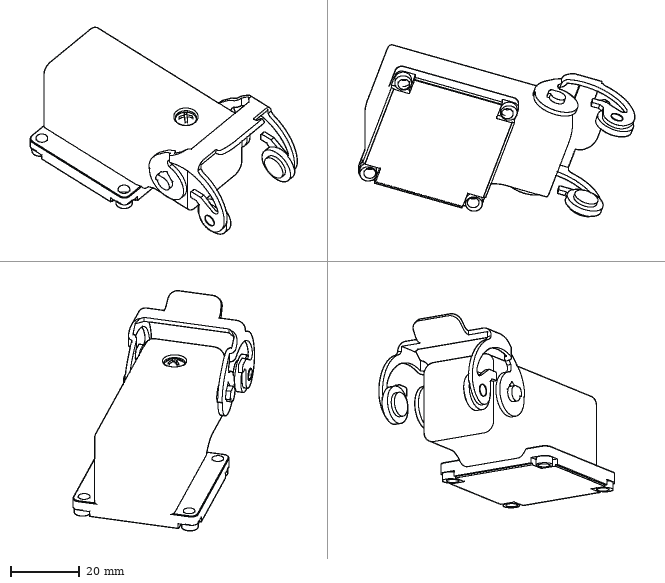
import cadquery as cq
import math

LENGTH = 74.15

BASE_SIDE = 38.0
BASE_TOP = 5.1
BASE_CORNER_R = 2.1
BASE_TOP_CHAMFER = 0.2
SKIRT_BOTTOM = 0.45
HOLE_INSET = 3.05
HOLE_D = 3.4
FOOT_INSET = 2.7
FOOT_R = 2.45
FOOT_TOP = 2.1
FOOT_NOTCH = 5.55
GASKET_INSET = 0.75

HOUSING_LENGTH = 56.2
HOUSING_WIDTH = 24.3
HOUSING_TOP = 30.0
NOSE_BOTTOM = 6.0
NOSE_START_X = 44.0
NOSE_CURVE_R = 7.0
NOSE_CURVE_MID_ANGLE = 110
LONG_EDGE_R = 3.35
END_EDGE_R = 1.0
HALF_WIDTH = HOUSING_WIDTH / 2

SCREW_X = 45.1
SCREW_RIM_R = 3.55
SCREW_HEAD_R = 3.1
SCREW_RIM_DEPTH = 0.7
SCREW_DOME_RISE = 0.3
SCREW_EDGE_DEPTH = 1.3
CROSS_LENGTH = 4.0
CROSS_WIDTH = 0.75
CROSS_DEPTH = 1.3

SHEET = 1.3
LEVER_HALF_WIDTH = 16.3
ARM_INNER_Y = LEVER_HALF_WIDTH - SHEET
PIVOT_PLATE_INNER_Y = 13.5
PIVOT_PLATE_OUTER_Y = PIVOT_PLATE_INNER_Y + SHEET
PIVOT_X = 50.5
PIVOT_Z = 18.25
PIVOT_DISC_R = 6.6
JOGGLE_X = 52.0
JOGGLE_END_X = 53.7
JOGGLE_TOP = 30.9
JOGGLE_LOW = 28.1

BAR_TOP = 35.4
BAR_START_X = 57.55
BAR_FRONT_X = 58.45
BAR_REAR_X = 64.0
BEND_R = 2.75
BAR_EDGE_HALF = 12.9

TAB_TOP = 39.8
TAB_ANGLE = 50
TAB_BEND_X = BAR_REAR_X
TAB_BEND_R = 2.4
TAB_ROOT_HALF = 8.45
TAB_TIP_HALF = 7.85
TAB_CORNER_R = 3.0

HOOK_TIP_X = 61.0
HOOK_TOP = 22.2
HOOK_LOW = 19.65

BOSS_ROOT_R = 3.1
BOSS_R = 2.6
BOSS_CONE_END_Y = 12.8
PIN_R = 2.3
PIN_END_Y = 16.25
PIN_KEY_REACH = 3.05
PIN_KEY_DROP = 0.2
PIN_SHOULDER = 2.2
KEYHOLE_APEX = 3.85
KEYHOLE_SIDE = 1.05

ROLLER_X = 68.6
ROLLER_Z = 15.0
ROLLER_R = 5.55
ROLLER_INNER_Y = 13.3
ROLLER_OUTER_Y = 15.2
ROLLER_HUB_R = 3.55
ROLLER_HUB_INNER_Y = 12.15
RIVET_R = 1.8
RIVET_END_Y = 16.55
HOOK_ROUND_R = 4.15


def box(x0, x1, y0, y1, z0, z1):
    """Axis-aligned block between the given limits."""
    return cq.Workplane("XY").box(x1 - x0, y1 - y0, z1 - z0, centered=False).translate((x0, y0, z0))


def side_sketch(y):
    """XZ workplane at the given Y; extruding by a negative length goes toward +Y."""
    return cq.Workplane("XZ", origin=(0, y, 0))


def disc(x, z, radius, y0, y1):
    """Cylinder along Y between y0 and y1."""
    return side_sketch(y0).center(x, z).circle(radius).extrude(y0 - y1)


def corner_points(inset):
    """The four base corners, moved inward by inset along X and Y."""
    reach = BASE_SIDE / 2 - inset
    middle = BASE_SIDE / 2
    return [(middle + sx * reach, sy * reach) for sx in (-1, 1) for sy in (-1, 1)]


def make_base():
    """Flanged plate with corner notches, gasket and four round feet."""
    middle = BASE_SIDE / 2
    height = BASE_TOP - SKIRT_BOTTOM
    base = cq.Workplane("XY", origin=(middle, 0, SKIRT_BOTTOM)).rect(BASE_SIDE, BASE_SIDE).extrude(height)
    base = base.edges("|Z").fillet(BASE_CORNER_R).faces(">Z").edges().chamfer(BASE_TOP_CHAMFER)
    notch_size = 2 * FOOT_NOTCH
    notches = cq.Workplane("XY").pushPoints(corner_points(0)).rect(notch_size, notch_size).extrude(FOOT_TOP)
    gasket_side = BASE_SIDE - 2 * GASKET_INSET
    gasket = cq.Workplane("XY", origin=(middle, 0, 0)).rect(gasket_side, gasket_side).extrude(SKIRT_BOTTOM)
    feet = cq.Workplane("XY").pushPoints(corner_points(FOOT_INSET)).circle(FOOT_R).extrude(FOOT_TOP)
    return base.union(gasket).cut(notches).union(feet)


def make_base_holes():
    """Cutters for the mounting holes."""
    return cq.Workplane("XY").pushPoints(corner_points(HOLE_INSET)).circle(HOLE_D / 2).extrude(BASE_TOP)


def make_housing():
    """Box-shaped hood whose overhanging nose rises from the base along a concave curve."""
    curve_z = NOSE_BOTTOM - NOSE_CURVE_R
    foot_x = NOSE_START_X - math.sqrt(NOSE_CURVE_R**2 - (SKIRT_BOTTOM - curve_z) ** 2)
    mid_angle = math.radians(NOSE_CURVE_MID_ANGLE)
    curve_mid = (
        NOSE_START_X + NOSE_CURVE_R * math.cos(mid_angle),
        curve_z + NOSE_CURVE_R * math.sin(mid_angle),
    )
    hood = (
        side_sketch(-HALF_WIDTH)
        .moveTo(0, SKIRT_BOTTOM)
        .lineTo(0, HOUSING_TOP)
        .lineTo(HOUSING_LENGTH, HOUSING_TOP)
        .lineTo(HOUSING_LENGTH, NOSE_BOTTOM)
        .lineTo(NOSE_START_X, NOSE_BOTTOM)
        .threePointArc(curve_mid, (foot_x, SKIRT_BOTTOM))
        .close()
        .extrude(-HOUSING_WIDTH)
    )
    hood = hood.faces(">Z").edges("|X").fillet(LONG_EDGE_R)
    nose_box = cq.selectors.BoxSelector(
        (foot_x - 0.75, -HALF_WIDTH - 0.75, SKIRT_BOTTOM - 0.75),
        (HOUSING_LENGTH - 0.75, HALF_WIDTH + 0.75, NOSE_BOTTOM + 0.75),
    )
    hood = hood.edges(nose_box).edges("not |Y").fillet(LONG_EDGE_R)
    end_box = cq.selectors.BoxSelector((-0.75, -HALF_WIDTH - 0.75, BASE_TOP), (0.75, HALF_WIDTH + 0.75, HOUSING_TOP + 0.75))
    return hood.edges(end_box).fillet(END_EDGE_R)


def add_screw(body):
    """Conical recess in the top with a domed head and a diagonal cross slot."""
    recess = (
        cq.Workplane("XY", origin=(SCREW_X, 0, HOUSING_TOP))
        .circle(SCREW_RIM_R)
        .workplane(offset=-SCREW_RIM_DEPTH)
        .circle(SCREW_HEAD_R)
        .loft()
    )
    well = cq.Workplane("XY", origin=(SCREW_X, 0, HOUSING_TOP)).circle(SCREW_HEAD_R).extrude(-SCREW_EDGE_DEPTH)
    dome_height = SCREW_DOME_RISE + SCREW_EDGE_DEPTH
    dome_r = (SCREW_HEAD_R**2 + dome_height**2) / (2 * dome_height)
    dome_top = HOUSING_TOP + SCREW_DOME_RISE
    dome = cq.Workplane("XY").sphere(dome_r).translate((SCREW_X, 0, dome_top - dome_r))
    dome = dome.intersect(
        cq.Workplane("XY", origin=(SCREW_X, 0, dome_top)).circle(SCREW_HEAD_R).extrude(-dome_height - 0.75)
    )
    body = body.cut(recess).cut(well).union(dome)
    for angle in (45, 135):
        slot = cq.Workplane("XY", origin=(SCREW_X, 0, dome_top)).rect(CROSS_LENGTH, CROSS_WIDTH)
        slot = slot.extrude(-CROSS_DEPTH)
        body = body.cut(slot.rotate((SCREW_X, 0, 0), (SCREW_X, 0, 1), angle))
    return body


def make_pivot_plate():
    """Inner sheet layer: disc around the pivot with a neck leading up to the joggle."""
    neck = (
        side_sketch(PIVOT_PLATE_INNER_Y)
        .moveTo(PIVOT_X, PIVOT_Z)
        .lineTo(43.6, 18.9)
        .threePointArc((44.6, 23.4), (46.95, 26.85))
        .lineTo(50.0, 29.75)
        .lineTo(JOGGLE_X, JOGGLE_TOP)
        .lineTo(JOGGLE_X, JOGGLE_LOW)
        .lineTo(51.1, 27.1)
        .threePointArc((50.95, 25.7), (51.6, 24.6))
        .lineTo(53.85, 23.4)
        .close()
        .extrude(-SHEET)
    )
    plate = disc(PIVOT_X, PIVOT_Z, PIVOT_DISC_R, PIVOT_PLATE_INNER_Y, PIVOT_PLATE_OUTER_Y)
    keyhole = (
        side_sketch(PIVOT_PLATE_INNER_Y)
        .center(PIVOT_X, PIVOT_Z)
        .moveTo(0, 0)
        .lineTo(-PIN_SHOULDER, PIN_SHOULDER)
        .lineTo(0, KEYHOLE_APEX)
        .lineTo(PIN_SHOULDER, KEYHOLE_SIDE)
        .close()
        .extrude(-SHEET)
    )
    return plate.union(neck).cut(keyhole)


def make_arm_outline():
    """Side outline of the arm, hook and cross bar as a full-width slab."""
    return (
        side_sketch(-LEVER_HALF_WIDTH)
        .moveTo(JOGGLE_X, JOGGLE_TOP)
        .lineTo(53.5, 31.9)
        .lineTo(BAR_START_X, BAR_TOP)
        .lineTo(BAR_REAR_X, BAR_TOP)
        .lineTo(BAR_REAR_X, 32.55)
        .threePointArc((64.45, 31.9), (65.25, 31.3))
        .threePointArc((71.4, 26.4), (LENGTH, 19.3))
        .threePointArc((73.4, 14.7), (70.75, 11.4))
        .threePointArc((66.3, 11.5), (ROLLER_X - HOOK_ROUND_R, ROLLER_Z))
        .lineTo(ROLLER_X - HOOK_ROUND_R, 18.7)
        .lineTo(63.3, HOOK_LOW)
        .lineTo(HOOK_TIP_X, HOOK_LOW)
        .lineTo(HOOK_TIP_X, 21.5)
        .threePointArc((61.25, 21.95), (61.7, HOOK_TOP))
        .lineTo(65.1, HOOK_TOP)
        .lineTo(69.4, 19.35)
        .threePointArc((71.3, 19.4), (71.7, 20.9))
        .threePointArc((69.8, 24.5), (67.35, 26.85))
        .threePointArc((59.5, 29.9), (JOGGLE_X, JOGGLE_LOW))
        .close()
        .extrude(-2 * LEVER_HALF_WIDTH)
    )


def make_arms():
    """Both arms and the cross bar: one folded channel with joggled ends."""
    outline = make_arm_outline()
    shell = box(JOGGLE_X, LENGTH, -LEVER_HALF_WIDTH, LEVER_HALF_WIDTH, 0, BAR_TOP)
    shell = shell.faces(">Z").edges("|X").fillet(BEND_R)
    shell = shell.cut(box(JOGGLE_X, LENGTH, -ARM_INNER_Y, ARM_INNER_Y, 0, BAR_TOP - SHEET))
    flare_half = BAR_EDGE_HALF + BAR_FRONT_X - JOGGLE_X
    relief = (
        cq.Workplane("XY")
        .moveTo(JOGGLE_X, -flare_half)
        .lineTo(BAR_FRONT_X, -BAR_EDGE_HALF)
        .lineTo(BAR_FRONT_X, BAR_EDGE_HALF)
        .lineTo(JOGGLE_X, flare_half)
        .close()
        .extrude(BAR_TOP)
        .intersect(box(JOGGLE_X, LENGTH, -ARM_INNER_Y, ARM_INNER_Y, BAR_TOP - SHEET, BAR_TOP))
    )
    arms = outline.intersect(shell.cut(relief))
    arms = arms.cut(box(JOGGLE_X, JOGGLE_END_X, -LEVER_HALF_WIDTH, LEVER_HALF_WIDTH, 0, BAR_TOP))
    bend = (
        cq.Workplane("XY")
        .moveTo(JOGGLE_X, PIVOT_PLATE_INNER_Y)
        .threePointArc((53.2, 13.95), (JOGGLE_END_X, ARM_INNER_Y))
        .lineTo(JOGGLE_END_X, LEVER_HALF_WIDTH)
        .threePointArc((52.6, 15.95), (JOGGLE_X, PIVOT_PLATE_OUTER_Y))
        .close()
        .extrude(BAR_TOP)
    )
    bend = bend.union(bend.mirror("XZ"))
    return arms.union(bend.intersect(outline))


def make_tab():
    """Thumb tab bent up from the rear edge of the bar, tapered with rounded corners."""
    angle = math.radians(TAB_ANGLE)
    sine, cosine = math.sin(angle), math.cos(angle)
    outer_r = TAB_BEND_R + SHEET
    bend_z = BAR_TOP + TAB_BEND_R
    half_sine, half_cosine = math.sin(angle / 2), math.cos(angle / 2)

    def bend_point(radius, s, c):
        return (TAB_BEND_X + radius * s, bend_z - radius * c)

    top_end = bend_point(TAB_BEND_R, sine, cosine)
    low_end = bend_point(outer_r, sine, cosine)
    run = (TAB_TOP - top_end[1]) / sine
    tip_x = top_end[0] + run * cosine
    profile = (
        side_sketch(-TAB_ROOT_HALF)
        .moveTo(BAR_REAR_X - SHEET, BAR_TOP)
        .lineTo(TAB_BEND_X, BAR_TOP)
        .threePointArc(bend_point(TAB_BEND_R, half_sine, half_cosine), top_end)
        .lineTo(tip_x, TAB_TOP)
        .lineTo(tip_x + SHEET * sine, TAB_TOP - SHEET * cosine)
        .lineTo(*low_end)
        .threePointArc(bend_point(outer_r, half_sine, half_cosine), (TAB_BEND_X, BAR_TOP - SHEET))
        .lineTo(BAR_REAR_X - SHEET, BAR_TOP - SHEET)
        .close()
        .extrude(-2 * TAB_ROOT_HALF)
    )
    face = (
        cq.Workplane("YZ")
        .moveTo(-TAB_ROOT_HALF, BAR_TOP - SHEET)
        .lineTo(-TAB_TIP_HALF, TAB_TOP)
        .lineTo(TAB_TIP_HALF, TAB_TOP)
        .lineTo(TAB_ROOT_HALF, BAR_TOP - SHEET)
        .close()
        .extrude(LENGTH)
    )
    tip_end = cq.selectors.BoxSelector(
        (tip_x, -TAB_ROOT_HALF, TAB_TOP - SHEET),
        (tip_x + SHEET, TAB_ROOT_HALF, TAB_TOP),
    )
    return profile.intersect(face).edges(tip_end).edges("not |Y").fillet(TAB_CORNER_R)


def make_pivot_pin():
    """Conical boss on the housing side and the keyed pin through the pivot plate."""
    cone = (
        side_sketch(HALF_WIDTH)
        .center(PIVOT_X, PIVOT_Z)
        .circle(BOSS_ROOT_R)
        .workplane(offset=HALF_WIDTH - BOSS_CONE_END_Y)
        .circle(BOSS_R)
        .loft()
    )
    boss = disc(PIVOT_X, PIVOT_Z, BOSS_R, BOSS_CONE_END_Y, PIVOT_PLATE_INNER_Y)
    pin = disc(PIVOT_X, PIVOT_Z, PIN_R, PIVOT_PLATE_INNER_Y, PIN_END_Y)
    key = (
        side_sketch(PIVOT_PLATE_INNER_Y)
        .center(PIVOT_X, PIVOT_Z)
        .moveTo(0, -PIN_KEY_DROP)
        .lineTo(-PIN_KEY_REACH, -PIN_KEY_DROP)
        .threePointArc((-2.8, 1.1), (-PIN_SHOULDER, PIN_SHOULDER))
        .lineTo(0, PIN_SHOULDER)
        .close()
        .extrude(PIVOT_PLATE_INNER_Y - PIN_END_Y)
    )
    return cone.union(boss).union(pin).union(key)


def make_roller():
    """Flanged roller riveted to the inside of the hook."""
    hub = disc(ROLLER_X, ROLLER_Z, ROLLER_HUB_R, ROLLER_HUB_INNER_Y, ROLLER_OUTER_Y)
    flange = disc(ROLLER_X, ROLLER_Z, ROLLER_R, ROLLER_INNER_Y, ROLLER_OUTER_Y)
    rivet = disc(ROLLER_X, ROLLER_Z, RIVET_R, ROLLER_INNER_Y, RIVET_END_Y)
    return hub.union(flange).union(rivet)


result = make_base().union(make_housing()).cut(make_base_holes())
result = add_screw(result)
result = result.union(make_arms()).union(make_tab())
for fitting in (make_pivot_plate(), make_pivot_pin(), make_roller()):
    result = result.union(fitting).union(fitting.mirror("XZ"))